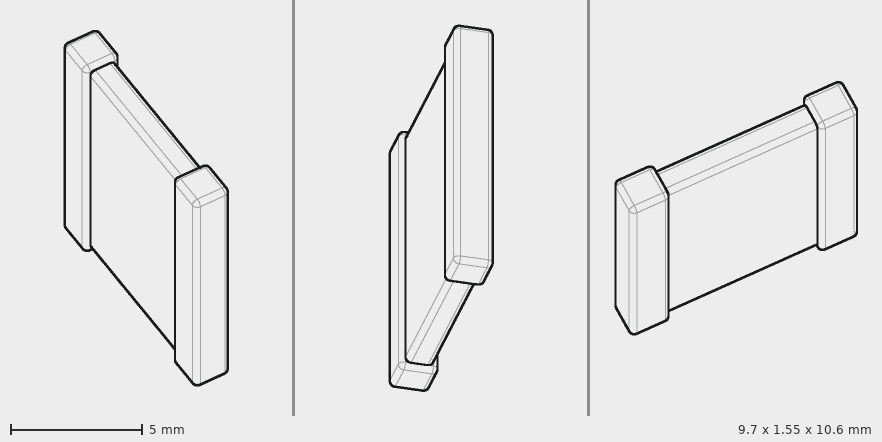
import cadquery as cq

LENGTH = 9.7
THICKNESS = 1.55
HEIGHT = 10.6

TERMINAL_LENGTH = 1.66
EDGE_RADIUS = 0.22
STEP = EDGE_RADIUS

CORE_LENGTH = LENGTH - 2 * TERMINAL_LENGTH
CORE_THICKNESS = THICKNESS - 2 * STEP
CORE_HEIGHT = HEIGHT - 2 * STEP

TERMINAL_OFFSET = (LENGTH - TERMINAL_LENGTH) / 2


def make_core():
    """Flat block with rounded long edges and plain ends that butt against the terminals."""
    block = cq.Workplane("XY").box(CORE_LENGTH, CORE_THICKNESS, CORE_HEIGHT)
    return block.edges("|X").fillet(EDGE_RADIUS)


def make_terminal(center_x):
    """Upright bar with all edges rounded, centred at the given X."""
    bar = cq.Workplane("XY").box(TERMINAL_LENGTH, THICKNESS, HEIGHT)
    return bar.edges().fillet(EDGE_RADIUS).translate((center_x, 0, 0))


core = make_core()
terminals = [make_terminal(side * TERMINAL_OFFSET) for side in (-1, 1)]

result = cq.Compound.makeCompound([core.val(), *[terminal.val() for terminal in terminals]])